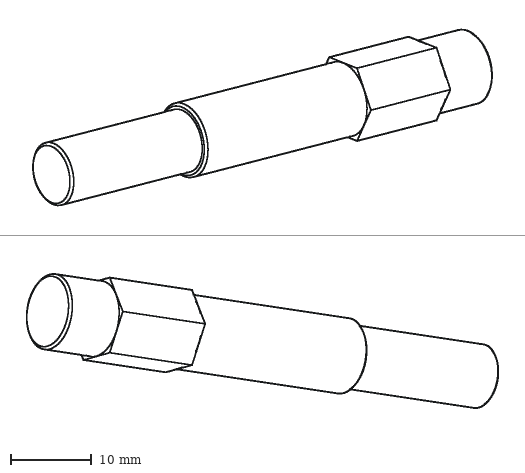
import cadquery as cq
import math

total_length = 66.7
tip_length = 20.8
hex_start = 46.5
hex_length = 12.7

tip_diameter = 8.0
body_diameter = 9.5
hex_across_flats = 9.55
hex_across_corners = hex_across_flats / math.cos(math.pi / 6)
edge_chamfer = 0.35


def cross_section(y):
    """Workplane across the pin at y; extruding by a negative length goes toward +Y."""
    return cq.Workplane("XZ", origin=(0, y, 0))


def round_bar(diameter, start, end):
    """Plain round bar on the Y axis from start to end."""
    return cross_section(start).circle(diameter / 2).extrude(start - end)


tip = round_bar(tip_diameter, 0, tip_length).faces("<Y").chamfer(edge_chamfer)

body = round_bar(body_diameter, tip_length, total_length).faces("<Y or >Y").chamfer(edge_chamfer)

wrench_hex = cross_section(hex_start).polygon(6, hex_across_corners).extrude(-hex_length)

result = body.union(tip).union(wrench_hex)